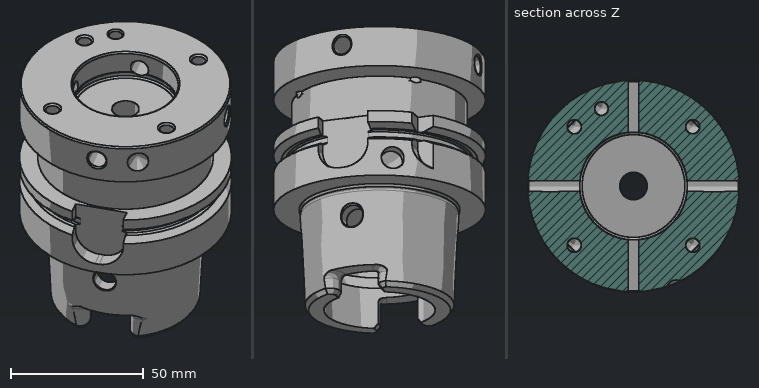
import cadquery as cq
import math

total_height = 99.9
shank_height = 40.0
flange_top = 65.7
head_bottom = 81.9
flange_radius = 80.0 / 2
neck_radius = 33.2

taper_top_radius = 30.0
taper_top = 37.6
taper_slope = 0.05
relief_radius = 29.8
relief_bottom = 38.6
relief_top = 39.0
shank_root_radius = 30.4
shank_chamfer_height = 1.9
shank_chamfer_width = 1.4

groove_middle = 57.9
groove_mouth_half = 3.4
groove_bottom_half = 1.7
groove_side_radius = flange_radius - (groove_mouth_half - groove_bottom_half) * math.sqrt(3)
groove_floor_radius = 34.9
groove_floor_round = 0.6

head_cone_height = 1.8
head_chamfer = 0.6
recess_radius = 19.9
recess_depth = 11.8
recess_mouth_chamfer = 0.6
recess_floor_radius = 19.4
recess_groove_depth = 0.4
recess_groove_width = 1.9
recess_floor_chamfer = 0.5
recess_floor = total_height - recess_depth

bore_radius = 21.0
chamber_radius = 24.0
clamp_shoulder_bottom = 16.0
clamp_shoulder_angle = 30.0
bore_depth = shank_height
centre_hole_radius = 5.1

slot_half_width = 8.0
slot_edge_round = 4.0
slot_roof_fillet = 2.3
slot_tangent_radius = 28.6
slot_height_front = 12.3
slot_height_back = 8.3

keyway_half_width = 10.0
keyway_floor = 33.9
keyway_bottom = 44.0
keyway_corner_round = 9.2
notch_corner = 25.0
notch_cutter_radius = 9.0
notch_cutter_height = 53.0

drill_point_angle = 118.0
cross_hole_height = 92.9
cross_hole_diameter = 7.0
cross_hole_mouth = 8.2
side_sink_diameter = 8.4
side_sink_angle = 90.0
offset_angle = 22.5
face_hole_circle = 31.6
face_hole_diameter = 5.2
face_hole_mouth = 6.6
face_hole_depth = 19.0
extra_hole_diameter = 5.0
extra_hole_mouth = 6.2
extra_hole_depth = 10.0
shank_hole_height = 28.2
shank_hole_diameter = 8.6
shank_hole_mouth = 9.8
chip_hole_height = 47.1
chip_hole_diameter = 8.6
chip_hole_depth = 5.0
chip_hole_angle = 118.0

outside_margin = 10.0


def taper_radius(height):
    """Outer radius of the taper shank at a given height."""
    return taper_top_radius - taper_slope * (taper_top - height)


def outer_body():
    """Revolved outline of shank, flange, neck and head."""
    outline = [
        (0, 0),
        (taper_radius(shank_chamfer_height) - shank_chamfer_width, 0),
        (taper_radius(shank_chamfer_height), shank_chamfer_height),
        (taper_top_radius, taper_top),
        (relief_radius, relief_bottom),
        (relief_radius, relief_top),
        (shank_root_radius, shank_height),
        (flange_radius, shank_height),
        (flange_radius, flange_top),
        (neck_radius, flange_top),
        (neck_radius, head_bottom),
        (flange_radius, head_bottom + head_cone_height),
        (flange_radius, total_height - head_chamfer),
        (flange_radius - head_chamfer, total_height),
        (0, total_height),
    ]
    return cq.Workplane("XZ").polyline(outline).close().revolve(360, (0, 0), (0, 1))


def gripper_groove():
    """Ring that cuts the groove, with rounded corners along its floor."""
    outer_radius = flange_radius + outside_margin
    round_start = groove_floor_radius + groove_floor_round
    low_floor = groove_middle - groove_bottom_half
    high_floor = groove_middle + groove_bottom_half
    return (
        cq.Workplane("XZ")
        .moveTo(outer_radius, groove_middle - groove_mouth_half)
        .lineTo(flange_radius, groove_middle - groove_mouth_half)
        .lineTo(groove_side_radius, low_floor)
        .lineTo(round_start, low_floor)
        .tangentArcPoint((groove_floor_radius, low_floor + groove_floor_round), relative=False)
        .lineTo(groove_floor_radius, high_floor - groove_floor_round)
        .tangentArcPoint((round_start, high_floor), relative=False)
        .lineTo(groove_side_radius, high_floor)
        .lineTo(flange_radius, groove_middle + groove_mouth_half)
        .lineTo(outer_radius, groove_middle + groove_mouth_half)
        .close()
        .revolve(360, (0, 0), (0, 1))
    )


def inner_space():
    """Revolved outline of the head recess, centre hole and shank bore."""
    shoulder_height = (chamber_radius - bore_radius) / math.tan(math.radians(clamp_shoulder_angle))
    clamp_shoulder_top = clamp_shoulder_bottom + shoulder_height
    groove_bottom = recess_floor + recess_floor_chamfer
    groove_top = groove_bottom + recess_groove_width
    outline = [
        (0, 0),
        (bore_radius, 0),
        (bore_radius, clamp_shoulder_bottom),
        (chamber_radius, clamp_shoulder_top),
        (chamber_radius, bore_depth),
        (centre_hole_radius, bore_depth),
        (centre_hole_radius, recess_floor),
        (recess_floor_radius, recess_floor),
        (recess_radius + recess_groove_depth, groove_bottom),
        (recess_radius + recess_groove_depth, groove_top),
        (recess_radius, groove_top),
        (recess_radius, total_height - recess_mouth_chamfer),
        (recess_radius + recess_mouth_chamfer, total_height),
        (0, total_height),
    ]
    return cq.Workplane("XZ").polyline(outline).close().revolve(360, (0, 0), (0, 1))


def slot_outline(widening):
    """Drive slot seen along the axis, opening toward -Y, grown sideways by `widening`."""
    radius = slot_edge_round - widening
    centre_x = slot_half_width + slot_edge_round
    centre_distance = slot_tangent_radius - slot_edge_round
    centre_y = -math.sqrt(centre_distance**2 - centre_x**2)
    out_x = centre_x / centre_distance
    out_y = centre_y / centre_distance
    wall_x = centre_x - radius
    inner_y = -bore_radius / 2
    end_angle = math.atan2(out_y, out_x) + 2 * math.pi
    middle_angle = (math.pi + end_angle) / 2
    middle = (centre_x + radius * math.cos(middle_angle), centre_y + radius * math.sin(middle_angle))
    end = (centre_x + radius * out_x, centre_y + radius * out_y)
    flare = (end[0] - out_y * outside_margin, end[1] + out_x * outside_margin)
    far_y = -flange_radius

    def mirrored(point):
        return (-point[0], point[1])

    return (
        cq.Workplane("XY")
        .moveTo(-wall_x, inner_y)
        .lineTo(wall_x, inner_y)
        .lineTo(wall_x, centre_y)
        .threePointArc(middle, end)
        .lineTo(*flare)
        .lineTo(flare[0], far_y)
        .lineTo(-flare[0], far_y)
        .lineTo(*mirrored(flare))
        .lineTo(*mirrored(end))
        .threePointArc(mirrored(middle), (-wall_x, centre_y))
        .close()
    )


def drive_slot(height):
    """Slot with a filleted roof and chamfered lower edges, on the -Y side."""
    slot = slot_outline(0).extrude(height).faces(">Z").edges().fillet(slot_roof_fillet)
    chamfer_angle = math.degrees(math.atan2(shank_chamfer_width, shank_chamfer_height))
    mouth = slot_outline(shank_chamfer_width).extrude(shank_chamfer_height, taper=chamfer_angle)
    return slot.union(mouth)


def keyway():
    """Round-bottomed gripper keyway on the -Y side."""
    block = cq.Workplane("XY").box(
        2 * keyway_half_width,
        flange_radius - keyway_floor,
        flange_top - keyway_bottom,
        centered=(True, False, False),
    )
    rounded = block.edges("|Y and <Z").fillet(keyway_corner_round)
    return rounded.translate((0, -flange_radius, keyway_bottom))


def orientation_notch():
    """Square corner notch in the flange, run out at the bottom by a round cutter."""
    axis_x = -notch_corner - notch_cutter_radius
    size = outside_margin + notch_cutter_radius
    round_end = (
        cq.Workplane("XZ", origin=(axis_x, notch_corner, notch_cutter_height))
        .circle(notch_cutter_radius)
        .extrude(-size)
    )
    straight = cq.Workplane("XY").box(
        2 * notch_cutter_radius, size, flange_top - notch_cutter_height, centered=(True, False, False)
    )
    return round_end.union(straight.translate((axis_x, notch_corner, notch_cutter_height)))


def drilled_hole(diameter, depth, mouth, point_angle=drill_point_angle):
    """Blind hole going down from the origin, with a 45 degree mouth and a drill point."""
    radius = diameter / 2
    point_length = radius / math.tan(math.radians(point_angle / 2))
    mouth_depth = (mouth - diameter) / 2
    outline = [(0, outside_margin), (mouth / 2, outside_margin), (mouth / 2, 0)]
    if mouth_depth > 0:
        outline.append((radius, -mouth_depth))
    if depth > mouth_depth:
        outline.append((radius, -depth))
    outline.append((0, -depth - point_length))
    return cq.Workplane("XZ").polyline(outline).close().revolve(360, (0, 0), (0, 1))


def radial_hole(hole, surface_radius, height, angle):
    """Turn a downward hole so that it enters radially; `angle` is measured from +X."""
    sideways = hole.translate((0, 0, surface_radius)).rotate((0, 0, 0), (0, 1, 0), 90)
    return sideways.rotate((0, 0, 0), (0, 0, 1), angle).translate((0, 0, height))


def face_hole(hole, angle):
    """Put a downward hole on the bolt circle of the head face; `angle` is measured from +X."""
    turn = math.radians(angle)
    place = (face_hole_circle * math.cos(turn), face_hole_circle * math.sin(turn), total_height)
    return hole.translate(place)


half_turn = ((0, 0, 0), (0, 0, 1), 180)

body = outer_body().cut(gripper_groove()).cut(inner_space())

body = body.cut(drive_slot(slot_height_front))
body = body.cut(drive_slot(slot_height_back).rotate(*half_turn))

body = body.cut(keyway()).cut(keyway().rotate(*half_turn)).cut(orientation_notch())

cross_hole = drilled_hole(cross_hole_diameter, flange_radius - recess_radius / 2, cross_hole_mouth)
for angle in (0, 90, 180, 270):
    body = body.cut(radial_hole(cross_hole, flange_radius, cross_hole_height, angle))

shank_hole = drilled_hole(shank_hole_diameter, taper_top_radius - bore_radius / 2, shank_hole_mouth)
for angle in (90, 270):
    body = body.cut(radial_hole(shank_hole, taper_radius(shank_hole_height), shank_hole_height, angle))

side_sink = drilled_hole(side_sink_diameter, 0, side_sink_diameter, side_sink_angle)
body = body.cut(radial_hole(side_sink, flange_radius, cross_hole_height, offset_angle - 90))
chip_hole = drilled_hole(chip_hole_diameter, chip_hole_depth, chip_hole_diameter)
body = body.cut(radial_hole(chip_hole, flange_radius, chip_hole_height, chip_hole_angle))

corner_hole = drilled_hole(face_hole_diameter, face_hole_depth, face_hole_mouth)
for angle in (45, 135, 225, 315):
    body = body.cut(face_hole(corner_hole, angle))
extra_hole = drilled_hole(extra_hole_diameter, extra_hole_depth, extra_hole_mouth)
body = body.cut(face_hole(extra_hole, 90 + offset_angle))

result = body